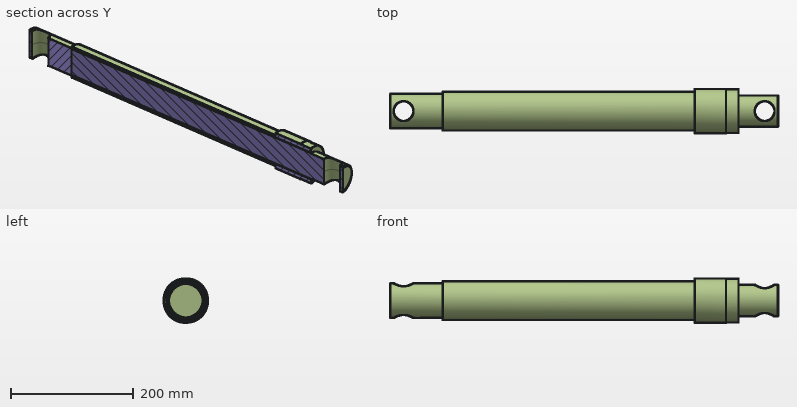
import cadquery as cq

overall_length = 636.0
left_end = -overall_length / 2
right_end = overall_length / 2
tube_start = left_end + 85.5
collar_start = left_end + 498.5
collar_step = left_end + 550.0
gland_face = left_end + 571.0

base_lug_diameter = 57.0
tube_diameter = 64.0
collar_diameter = 73.0
gland_diameter = 72.0
rod_diameter = 52.0

base_lug_chamfer = 1.0
tube_chamfer = 1.0
collar_chamfer = 1.0
rod_chamfer = 1.5

pin_hole_diameter = 32.0
base_hole_x = left_end + 22.0
rod_hole_x = right_end - 22.5


def cylinder_along_x(diameter, start, end):
    """Solid cylinder on the X axis between two axial positions."""
    return cq.Workplane("YZ", origin=(start, 0, 0)).circle(diameter / 2).extrude(end - start)


def pin_hole(x):
    """Vertical cutter that passes right through the part at the given X position."""
    return (
        cq.Workplane("XY")
        .center(x, 0)
        .circle(pin_hole_diameter / 2)
        .extrude(collar_diameter / 2, both=True)
    )


def make_cylinder_housing():
    """Tube with a solid base lug, a stepped collar and a blind bore for the rod."""
    base_lug = cylinder_along_x(base_lug_diameter, left_end, tube_start)
    base_lug = base_lug.faces("<X").chamfer(base_lug_chamfer)
    tube = cylinder_along_x(tube_diameter, tube_start, collar_start)
    tube = tube.faces("<X").chamfer(tube_chamfer)
    collar = cylinder_along_x(collar_diameter, collar_start, collar_step)
    collar = collar.faces("<X").chamfer(collar_chamfer)
    gland = cylinder_along_x(gland_diameter, collar_step, gland_face)
    rod_bore = cylinder_along_x(rod_diameter, tube_start, gland_face)

    housing = base_lug.union(tube).union(collar).union(gland)
    return housing.cut(rod_bore).cut(pin_hole(base_hole_x))


def make_rod():
    """Retracted rod that fills the bore and carries a pin hole in its outer end."""
    rod = cylinder_along_x(rod_diameter, tube_start, right_end)
    rod = rod.faces(">X").chamfer(rod_chamfer)
    return rod.cut(pin_hole(rod_hole_x))


cylinder_housing = make_cylinder_housing()
rod = make_rod()

result = cq.Compound.makeCompound([cylinder_housing.val(), rod.val()])